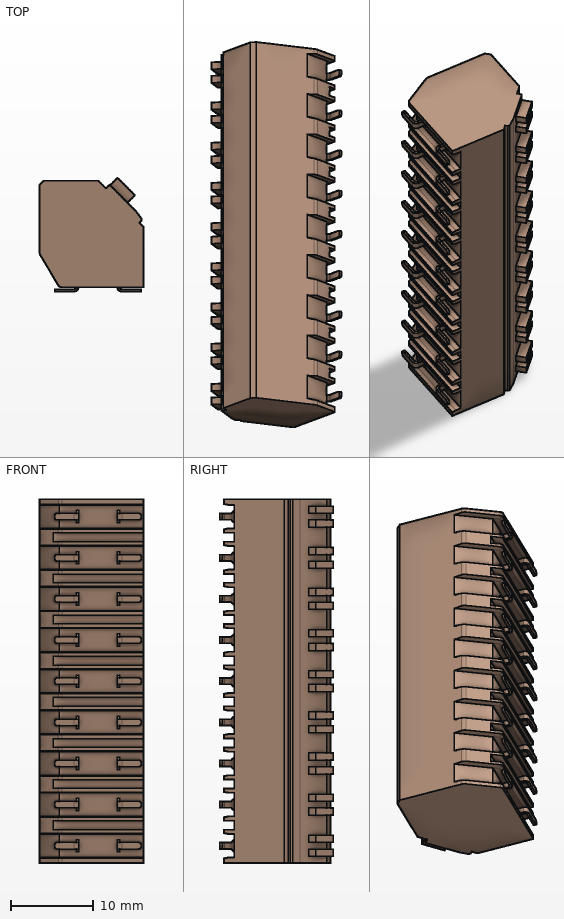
import cadquery as cq
import math

HEIGHT = 44.2
WIDTH = 12.7
DEPTH = 12.95

POLE_COUNT = 9
POLE_PITCH = 5.0
FIRST_POLE_Z = (HEIGHT - (POLE_COUNT - 1) * POLE_PITCH) / 2
POLE_HEIGHTS = [FIRST_POLE_Z + i * POLE_PITCH for i in range(POLE_COUNT)]

BEVEL_X = 2.45
BEVEL_Y = 4.1
BEVEL_SIDE_RADIUS = 1.0
BEVEL_PIN_RADIUS = 0.5
BACK_CHAMFER = 0.55
FACE_ANGLE = 45.0
NOTCH_START_X = 7.15
NOTCH_DEPTH = 0.95
FACE_START_RISE = 0.45
FACE_END_X = 11.75
LIP_TIP_X = 12.4
LIP_TOP_Y = 8.35
LIP_BOTTOM_Y = 8.1
LIP_UNDERCUT = 0.25
SIDE_CHAMFER_Y = 7.35

NOTCH_X = NOTCH_START_X + NOTCH_DEPTH
NOTCH_Y = DEPTH - NOTCH_DEPTH
FACE_START_X = NOTCH_X + FACE_START_RISE
FACE_START_Y = NOTCH_Y + FACE_START_RISE
FACE_END_Y = FACE_START_Y - (FACE_END_X - FACE_START_X)
LIP_ROOT_X = LIP_TIP_X - LIP_UNDERCUT
LIP_ROOT_Y = LIP_BOTTOM_Y - LIP_UNDERCUT

RECESS_DEPTH = 1.25
POCKET_MOUTH_HEIGHT = 3.05
POCKET_FLOOR_HEIGHT = 2.85
POCKET_FLARE_DEPTH = 0.55
GROOVE_HEIGHT = 1.05
CLEARANCE = 2.2

PIN_THICKNESS = 0.3
PIN_WIDTH = 0.8
PIN_REACH = 0.55
PIN_FLARE = 0.35
PIN_ROOT = 0.2
PIN_TIP_RADIUS = 0.3
PIN_BEND_RADIUS = 0.57
LEFT_PIN_TIP_X = 1.85
LEFT_PIN_HEEL_X = 4.77
RIGHT_PIN_HEEL_X = 9.45
RIGHT_PIN_TIP_X = 12.38

STUD_LENGTH = 3.0
STUD_RISE = 1.3
STUD_HEIGHT = 0.9
STUD_GAP = 0.8
STUD_INSET = 0.1
STUD_ROOT = 0.2


def make_housing():
    outline = [
        (BEVEL_X, 0),
        (WIDTH, 0),
        (WIDTH, SIDE_CHAMFER_Y),
        (LIP_ROOT_X, LIP_ROOT_Y),
        (LIP_TIP_X, LIP_BOTTOM_Y),
        (LIP_TIP_X, LIP_TOP_Y),
        (FACE_END_X, FACE_END_Y),
        (FACE_START_X, FACE_START_Y),
        (NOTCH_X, NOTCH_Y),
        (NOTCH_START_X, DEPTH),
        (BACK_CHAMFER, DEPTH),
        (0, DEPTH - BACK_CHAMFER),
        (0, BEVEL_Y),
    ]
    housing = cq.Workplane("XY").polyline(outline).close().extrude(HEIGHT)
    mid_z = HEIGHT / 2
    side_edge = cq.selectors.NearestToPointSelector((0, BEVEL_Y, mid_z))
    pin_edge = cq.selectors.NearestToPointSelector((BEVEL_X, 0, mid_z))
    housing = housing.edges("|Z").edges(side_edge).fillet(BEVEL_SIDE_RADIUS)
    return housing.edges("|Z").edges(pin_edge).fillet(BEVEL_PIN_RADIUS)


def pocket_section(pin_depth, bevel_rise, z):
    """Area outside the pin face moved in by pin_depth and the bevel moved up Y by bevel_rise."""
    slope = BEVEL_Y / BEVEL_X
    corner_x = BEVEL_X + (bevel_rise - pin_depth) / slope
    points = [
        (-CLEARANCE, BEVEL_Y + bevel_rise + slope * CLEARANCE),
        (corner_x, pin_depth),
        (WIDTH + CLEARANCE, pin_depth),
        (WIDTH + CLEARANCE, -CLEARANCE),
        (-CLEARANCE, -CLEARANCE),
    ]
    return cq.Wire.makePolygon([cq.Vector(x, y, z) for x, y in points], close=True)


def make_pocket(z):
    """Recess around one pole: straight walls at the floor, flared towards the mouth."""
    half_mouth = POCKET_MOUTH_HEIGHT / 2
    half_floor = POCKET_FLOOR_HEIGHT / 2
    flare_rise = POCKET_FLARE_DEPTH * math.hypot(BEVEL_X, BEVEL_Y) / BEVEL_X
    flare_sections = [
        pocket_section(0, 0, z - half_mouth),
        pocket_section(POCKET_FLARE_DEPTH, flare_rise, z - half_floor),
        pocket_section(POCKET_FLARE_DEPTH, flare_rise, z + half_floor),
        pocket_section(0, 0, z + half_mouth),
    ]
    floor_sections = [
        pocket_section(RECESS_DEPTH, RECESS_DEPTH, z - half_floor),
        pocket_section(RECESS_DEPTH, RECESS_DEPTH, z + half_floor),
    ]
    flared_mouth = cq.Workplane(obj=cq.Solid.makeLoft(flare_sections, True))
    return flared_mouth.union(cq.Workplane(obj=cq.Solid.makeLoft(floor_sections, True)))


def make_groove(z):
    """Straight groove between two neighbouring poles."""
    groove = cq.Workplane("XY").box(
        WIDTH + 2 * CLEARANCE, RECESS_DEPTH + CLEARANCE, GROOVE_HEIGHT, centered=(False, False, True)
    )
    return groove.translate((-CLEARANCE, -CLEARANCE, z))


def make_pin(heel_x, tip_x, z):
    """L-shaped pin whose foot points from heel_x towards tip_x."""
    foot_length = abs(tip_x - heel_x)
    leg_top = RECESS_DEPTH + PIN_ROOT
    inner_radius = PIN_BEND_RADIUS - PIN_THICKNESS
    half_width = PIN_WIDTH / 2
    diagonal = math.cos(math.radians(45))
    bend_y = PIN_BEND_RADIUS - PIN_REACH
    side_profile = (
        cq.Workplane("XY")
        .moveTo(0, leg_top)
        .lineTo(0, bend_y)
        .threePointArc(
            (PIN_BEND_RADIUS * (1 - diagonal), bend_y - PIN_BEND_RADIUS * diagonal),
            (PIN_BEND_RADIUS, -PIN_REACH),
        )
        .lineTo(foot_length, -PIN_REACH)
        .lineTo(foot_length, PIN_THICKNESS - PIN_REACH)
        .lineTo(PIN_BEND_RADIUS, PIN_THICKNESS - PIN_REACH)
        .threePointArc(
            (PIN_BEND_RADIUS - inner_radius * diagonal, bend_y - inner_radius * diagonal),
            (PIN_THICKNESS, bend_y),
        )
        .lineTo(PIN_THICKNESS, leg_top)
        .close()
    )
    pin = side_profile.extrude(half_width, both=True)
    pin = pin.faces(">X").edges("|Y").fillet(PIN_TIP_RADIUS)

    flare_half = half_width + PIN_FLARE
    flare = (
        cq.Workplane("YZ")
        .polyline([
            (RECESS_DEPTH - PIN_FLARE, half_width),
            (RECESS_DEPTH, flare_half),
            (leg_top, flare_half),
            (leg_top, -flare_half),
            (RECESS_DEPTH, -flare_half),
            (RECESS_DEPTH - PIN_FLARE, -half_width),
        ])
        .close()
        .extrude(PIN_THICKNESS)
    )
    pin = pin.union(flare)
    if tip_x < heel_x:
        pin = pin.mirror("YZ")
    return pin.translate((heel_x, 0, z))


def make_stud(z):
    """Block standing square on the 45 degree face, starting near its head."""
    stud = cq.Workplane("XY").box(
        STUD_LENGTH, STUD_RISE + STUD_ROOT, STUD_HEIGHT, centered=(False, False, True)
    )
    stud = stud.translate((STUD_INSET, -STUD_ROOT, 0)).rotate((0, 0, 0), (0, 0, 1), -FACE_ANGLE)
    return stud.translate((FACE_START_X, FACE_START_Y, z))


result = make_housing()

for pole_z in POLE_HEIGHTS:
    result = result.cut(make_pocket(pole_z))
for pole_z in POLE_HEIGHTS[:-1]:
    result = result.cut(make_groove(pole_z + POLE_PITCH / 2))

stud_offset = (STUD_GAP + STUD_HEIGHT) / 2
for pole_z in POLE_HEIGHTS:
    result = result.union(make_pin(LEFT_PIN_HEEL_X, LEFT_PIN_TIP_X, pole_z))
    result = result.union(make_pin(RIGHT_PIN_HEEL_X, RIGHT_PIN_TIP_X, pole_z))
    for side in (-1, 1):
        result = result.union(make_stud(pole_z + side * stud_offset))